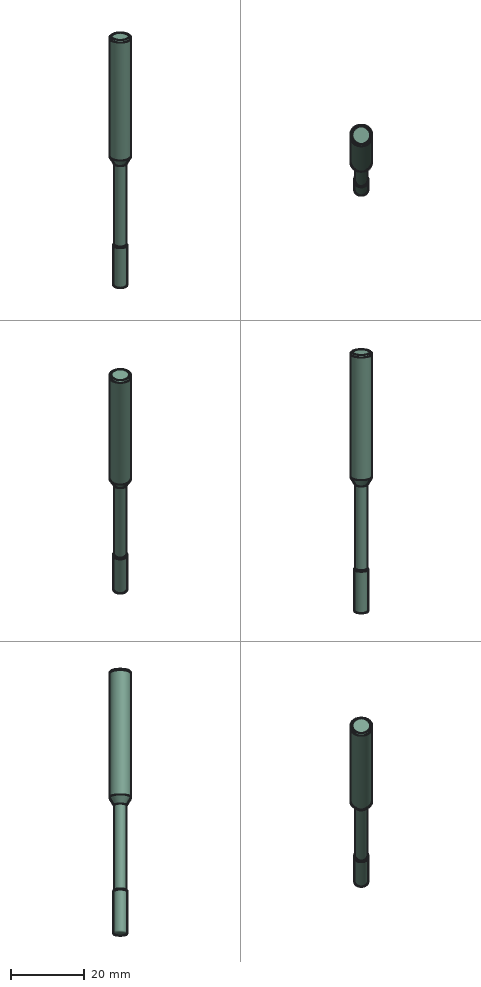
import cadquery as cq

total_length = 75.0
shank_diameter = 6.0
neck_diameter = 3.45
head_diameter = 3.9

head_length = 12.5
shank_length = 36.0
taper_length = 2.25

shank_chamfer = 0.5
head_shoulder_height = 0.4
tip_radius = 0.45

shank_radius = shank_diameter / 2
neck_radius = neck_diameter / 2
head_radius = head_diameter / 2
shank_bottom = total_length - shank_length
taper_bottom = shank_bottom - taper_length
shoulder_bottom = head_length - head_shoulder_height

profile = (
    cq.Workplane("XZ")
    .lineTo(head_radius, 0)
    .lineTo(head_radius, shoulder_bottom)
    .lineTo(neck_radius, head_length)
    .lineTo(neck_radius, taper_bottom)
    .lineTo(shank_radius, shank_bottom)
    .lineTo(shank_radius, total_length)
    .lineTo(0, total_length)
    .close()
)
body = profile.revolve(360, (0, 0, 0), (0, 1, 0))

body = body.faces(">Z").edges().chamfer(shank_chamfer)
result = body.faces("<Z").edges().fillet(tip_radius)